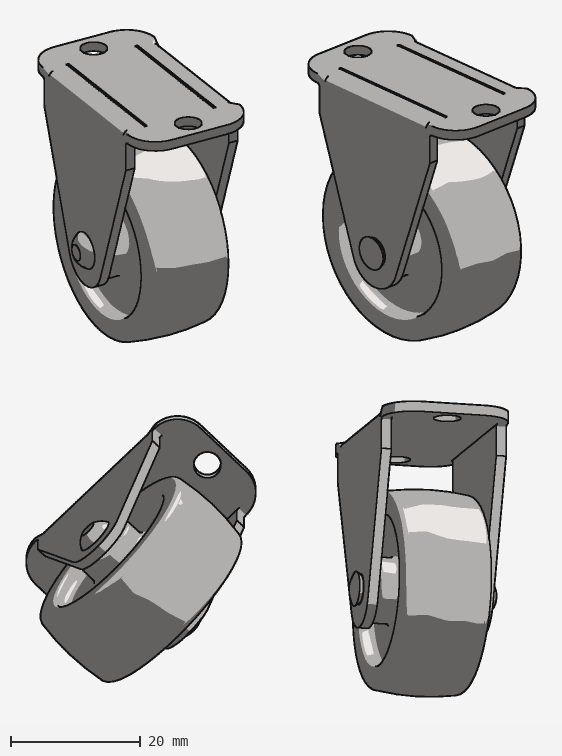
import cadquery as cq
import math

OVERALL_HEIGHT = 42.0
PLATE_LENGTH = 36.0
PLATE_WIDTH = 20.0
SHEET = 1.6
PLATE_CORNER_RADIUS = 5.0
WHEEL_RADIUS = 16.0
PLATE_TOP = OVERALL_HEIGHT - WHEEL_RADIUS
PLATE_BOTTOM = PLATE_TOP - SHEET
SCREW_HOLE_DIAMETER = 4.2
SCREW_HOLE_X = 14.5
GROOVE_LENGTH = 24.0
GROOVE_WIDTH = 0.38
GROOVE_DEPTH = 0.2
GROOVE_Y = 6.15
LEG_HALF_WIDTH = 12.5
LEG_SHOULDER_DROP = 6.5
LEG_SHOULDER_Z = PLATE_TOP - LEG_SHOULDER_DROP
LEG_TIP_RADIUS = 5.0
LEG_TIP_CENTER_Z = -1.0
BEND_RADIUS = SHEET
BEND_HALF_LENGTH = PLATE_LENGTH / 2 - PLATE_CORNER_RADIUS
BEND_RUNOUT_RADIUS = 0.02
LEG_OUTER_Y = PLATE_WIDTH / 2
LEG_ROOT_RADIUS = BEND_HALF_LENGTH - LEG_HALF_WIDTH

WHEEL_HALF_WIDTH = 7.0
CROWN_HEIGHT = 0.5
TREAD_CORNER = 0.92
RECESS_WALL_RADIUS = 11.7
RIM_EDGE_RADIUS = 0.5
RECESS_FILLET = 1.0
RECESS_DEPTH = 2.5
WEB_HALF_THICKNESS = WHEEL_HALF_WIDTH - RECESS_DEPTH
HUB_HALF_LENGTH = 8.0
HUB_RADIUS = 5.12
HUB_EDGE_RADIUS = 0.5
HUB_ROOT_RADIUS = 1.05

AXLE_LENGTH = 23.1
AXLE_RADIUS = 2.4
DOME_BASE_RADIUS = 3.0
DOME_FLAT_RADIUS = 1.3
DOME_HEIGHT = 1.6
RIVET_NECK_RADIUS = 2.23
RIVET_RADIUS = 2.7
RIVET_FLARE_HEIGHT = 0.7
RIVET_HEIGHT = AXLE_LENGTH - PLATE_WIDTH - DOME_HEIGHT

DIAGONAL = math.sqrt(0.5)


def spin_about_y(profile):
    """Revolve a closed (radius, y) profile about the Y axis."""
    return profile.close().revolve(360, (0, 0, 0), (0, 1, 0))


def make_leg_blank():
    """Tapered leg with a round tip, in the XZ plane, on the -Y side."""
    drop = LEG_SHOULDER_Z - LEG_TIP_CENTER_Z
    distance = math.hypot(LEG_HALF_WIDTH, drop)
    angle = math.atan2(drop, LEG_HALF_WIDTH) - math.acos(LEG_TIP_RADIUS / distance)
    tangent_x = LEG_TIP_RADIUS * math.cos(angle)
    tangent_z = LEG_TIP_CENTER_Z + LEG_TIP_RADIUS * math.sin(angle)
    root_x = LEG_HALF_WIDTH + LEG_ROOT_RADIUS
    root_z = PLATE_BOTTOM - LEG_ROOT_RADIUS
    root_mid_x = root_x - LEG_ROOT_RADIUS * DIAGONAL
    root_mid_z = root_z + LEG_ROOT_RADIUS * DIAGONAL
    return (
        cq.Workplane("XZ", origin=(0, -LEG_OUTER_Y + SHEET, 0))
        .moveTo(root_x, PLATE_BOTTOM)
        .threePointArc((root_mid_x, root_mid_z), (LEG_HALF_WIDTH, root_z))
        .lineTo(LEG_HALF_WIDTH, LEG_SHOULDER_Z)
        .lineTo(tangent_x, tangent_z)
        .threePointArc((0, LEG_TIP_CENTER_Z - LEG_TIP_RADIUS), (-tangent_x, tangent_z))
        .lineTo(-LEG_HALF_WIDTH, LEG_SHOULDER_Z)
        .lineTo(-LEG_HALF_WIDTH, root_z)
        .threePointArc((-root_mid_x, root_mid_z), (-root_x, PLATE_BOTTOM))
        .close()
        .extrude(SHEET)
    )


def bend_waste_section(x, radius):
    """Corner area outside a bend of the given radius on the -Y top edge."""
    inset = radius * (1 - DIAGONAL)
    return (
        cq.Workplane("YZ", origin=(x, 0, 0))
        .moveTo(-LEG_OUTER_Y, PLATE_TOP)
        .lineTo(-LEG_OUTER_Y + radius, PLATE_TOP)
        .threePointArc(
            (-LEG_OUTER_Y + inset, PLATE_TOP - inset),
            (-LEG_OUTER_Y, PLATE_TOP - radius),
        )
        .close()
        .val()
    )


def make_bend_waste():
    """Rounding of the bend, fading to a sharp edge at both ends."""
    full_x = BEND_HALF_LENGTH - BEND_RADIUS
    stations = [
        (-BEND_HALF_LENGTH, BEND_RUNOUT_RADIUS),
        (-full_x, BEND_RADIUS),
        (full_x, BEND_RADIUS),
        (BEND_HALF_LENGTH, BEND_RUNOUT_RADIUS),
    ]
    sections = [bend_waste_section(x, radius) for x, radius in stations]
    return cq.Workplane(cq.Solid.makeLoft(sections, True))


def make_bracket():
    bracket = (
        cq.Workplane("XY", origin=(0, 0, PLATE_BOTTOM))
        .rect(PLATE_LENGTH, PLATE_WIDTH)
        .extrude(SHEET)
        .edges("|Z")
        .fillet(PLATE_CORNER_RADIUS)
    )
    screw_holes = (
        cq.Workplane("XY", origin=(0, 0, PLATE_BOTTOM))
        .pushPoints([(-SCREW_HOLE_X, 0), (SCREW_HOLE_X, 0)])
        .circle(SCREW_HOLE_DIAMETER / 2)
        .extrude(SHEET)
    )
    grooves = (
        cq.Workplane("XY", origin=(0, 0, PLATE_TOP))
        .pushPoints([(0, -GROOVE_Y), (0, GROOVE_Y)])
        .rect(GROOVE_LENGTH, GROOVE_WIDTH)
        .extrude(-GROOVE_DEPTH)
    )
    leg = make_leg_blank()
    bend_waste = make_bend_waste()
    axle_hole = cq.Workplane("XZ").circle(AXLE_RADIUS).extrude(LEG_OUTER_Y, both=True)
    return (
        bracket.union(leg)
        .union(leg.mirror("XZ"))
        .cut(bend_waste)
        .cut(bend_waste.mirror("XZ"))
        .cut(screw_holes)
        .cut(grooves)
        .cut(axle_hole)
    )


def make_wheel():
    """Crowned wheel with a recessed web and a protruding hub on each side."""
    edge_radius = WHEEL_RADIUS - CROWN_HEIGHT
    crown_y = WHEEL_HALF_WIDTH - TREAD_CORNER
    wheel = spin_about_y(
        cq.Workplane("XY")
        .moveTo(AXLE_RADIUS, -WHEEL_HALF_WIDTH)
        .lineTo(edge_radius - TREAD_CORNER, -WHEEL_HALF_WIDTH)
        .radiusArc((edge_radius, -crown_y), -TREAD_CORNER)
        .threePointArc((WHEEL_RADIUS, 0), (edge_radius, crown_y))
        .radiusArc((edge_radius - TREAD_CORNER, WHEEL_HALF_WIDTH), -TREAD_CORNER)
        .lineTo(AXLE_RADIUS, WHEEL_HALF_WIDTH)
    )
    rim_face_radius = RECESS_WALL_RADIUS + RIM_EDGE_RADIUS
    recess = spin_about_y(
        cq.Workplane("XY")
        .moveTo(AXLE_RADIUS, WEB_HALF_THICKNESS)
        .lineTo(RECESS_WALL_RADIUS - RECESS_FILLET, WEB_HALF_THICKNESS)
        .radiusArc((RECESS_WALL_RADIUS, WEB_HALF_THICKNESS + RECESS_FILLET), -RECESS_FILLET)
        .lineTo(RECESS_WALL_RADIUS, WHEEL_HALF_WIDTH - RIM_EDGE_RADIUS)
        .radiusArc((rim_face_radius, WHEEL_HALF_WIDTH), RIM_EDGE_RADIUS)
        .lineTo(AXLE_RADIUS, WHEEL_HALF_WIDTH)
    )
    hub = spin_about_y(
        cq.Workplane("XY")
        .moveTo(AXLE_RADIUS, WEB_HALF_THICKNESS)
        .lineTo(HUB_RADIUS + HUB_ROOT_RADIUS, WEB_HALF_THICKNESS)
        .radiusArc((HUB_RADIUS, WEB_HALF_THICKNESS + HUB_ROOT_RADIUS), HUB_ROOT_RADIUS)
        .lineTo(HUB_RADIUS, HUB_HALF_LENGTH - HUB_EDGE_RADIUS)
        .radiusArc((HUB_RADIUS - HUB_EDGE_RADIUS, HUB_HALF_LENGTH), -HUB_EDGE_RADIUS)
        .lineTo(AXLE_RADIUS, HUB_HALF_LENGTH)
    )
    return (
        wheel.cut(recess)
        .cut(recess.mirror("XZ"))
        .union(hub)
        .union(hub.mirror("XZ"))
    )


def make_axle():
    """Shaft with a domed head at -Y and a flared rivet head at +Y."""
    sphere_offset = (DOME_BASE_RADIUS**2 - DOME_FLAT_RADIUS**2 - DOME_HEIGHT**2) / (2 * DOME_HEIGHT)
    sphere_radius = math.hypot(DOME_BASE_RADIUS, sphere_offset)
    flare_y = LEG_OUTER_Y + RIVET_FLARE_HEIGHT
    rivet_rise = RIVET_HEIGHT - RIVET_FLARE_HEIGHT
    rivet_sphere_radius = (RIVET_RADIUS**2 + rivet_rise**2) / (2 * rivet_rise)
    return spin_about_y(
        cq.Workplane("XY")
        .moveTo(0, -LEG_OUTER_Y - DOME_HEIGHT)
        .lineTo(DOME_FLAT_RADIUS, -LEG_OUTER_Y - DOME_HEIGHT)
        .radiusArc((DOME_BASE_RADIUS, -LEG_OUTER_Y), -sphere_radius)
        .lineTo(AXLE_RADIUS, -LEG_OUTER_Y)
        .lineTo(AXLE_RADIUS, LEG_OUTER_Y)
        .lineTo(RIVET_NECK_RADIUS, LEG_OUTER_Y)
        .lineTo(RIVET_RADIUS, flare_y)
        .radiusArc((0, LEG_OUTER_Y + RIVET_HEIGHT), -rivet_sphere_radius)
    )


bracket = make_bracket()
wheel = make_wheel()
axle = make_axle()

result = cq.Compound.makeCompound([bracket.val(), wheel.val(), axle.val()])